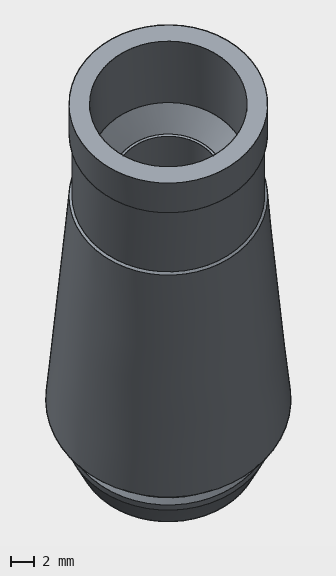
import cadquery as cq

total_height = 47.9
nose_top = 3.05
lip_top = 3.8
groove_bottom = 4.2
groove_top = 5.65
body_bottom = 6.85
body_top = 35.1
collar_bottom = 43.8
edge_bevel = 0.15

nose_radius = 7.7
lip_radius = 8.8
groove_radius = 8.4
body_radius = 10.3
collar_radius = 8.35
neck_radius = 8.1

socket_radius = 6.6
socket_depth = 8.55
cone_end_radius = 4.75
outlet_radius = 4.5
cone_length = 1.9

socket_floor = total_height - socket_depth
cone_end = socket_floor - cone_length


def revolve_about_z(profile):
    return profile.close().revolve(360, (0, 0, 0), (0, 1, 0))


def make_outer_body():
    profile = (
        cq.Workplane("YZ")
        .lineTo(nose_radius, 0)
        .lineTo(lip_radius, nose_top)
        .lineTo(lip_radius, lip_top)
        .lineTo(groove_radius, groove_bottom)
        .lineTo(groove_radius, groove_top)
        .lineTo(body_radius, body_bottom)
        .lineTo(collar_radius, body_top)
        .lineTo(neck_radius, body_top + edge_bevel)
        .lineTo(neck_radius, collar_bottom - edge_bevel)
        .lineTo(collar_radius, collar_bottom)
        .lineTo(collar_radius, total_height)
        .lineTo(0, total_height)
    )
    return revolve_about_z(profile)


def make_bore():
    profile = (
        cq.Workplane("YZ")
        .lineTo(outlet_radius, 0)
        .lineTo(outlet_radius, cone_end)
        .lineTo(cone_end_radius, cone_end)
        .lineTo(socket_radius, socket_floor)
        .lineTo(socket_radius, total_height)
        .lineTo(0, total_height)
    )
    return revolve_about_z(profile)


result = make_outer_body().cut(make_bore())